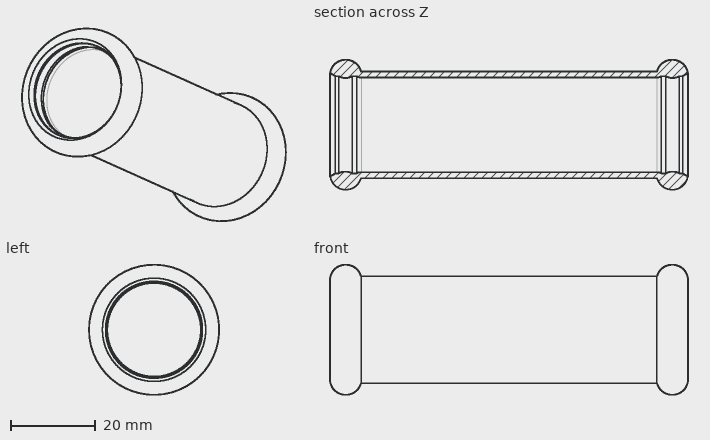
import cadquery as cq
import math

length = 84.5
body_radius = 25.3 / 2
socket_radius = 22.9 / 2
bore_radius = 22.3 / 2

bead_outer_radius = 30.79 / 2
bead_section_radius = 3.76
bead_ring_radius = bead_outer_radius - bead_section_radius

mouth_radius = 12.2
lead_in_depth = 1.3
seal_start = 2.05
seal_width = 3.2
seal_radius = 11.03
step_start = 6.3

step_section_radius = 2.0


def chord_offset(section_radius, radial_offset):
    """Half chord of a circular section at a given radial distance from its centre."""
    return math.sqrt(section_radius**2 - radial_offset**2)


mouth_x = -length / 2
bead_x = mouth_x + chord_offset(bead_section_radius, mouth_radius - bead_ring_radius)


def end_bead():
    """Ring of circular section around the negative X end."""
    section = cq.Workplane("XY").center(bead_x, bead_ring_radius).circle(bead_section_radius)
    return section.revolve(360, (-1, -bead_ring_radius), (1, -bead_ring_radius))


def end_cavity():
    """Space inside the negative X half: tapered mouth, narrowing seal ring, rounded step and bore."""
    outside_x = bead_x - 2 * bead_section_radius
    seal_start_x = mouth_x + seal_start
    seal_end_x = seal_start_x + seal_width
    seal_middle_x = seal_start_x + seal_width / 2

    step_centre_radius = bore_radius + step_section_radius
    step_start_x = mouth_x + step_start
    step_end_x = step_start_x + chord_offset(step_section_radius, step_centre_radius - socket_radius)
    step_middle_x = (step_start_x + step_end_x) / 2
    step_middle_radius = step_centre_radius - chord_offset(step_section_radius, step_end_x - step_middle_x)

    profile = (
        cq.Workplane("XY")
        .moveTo(outside_x, 0)
        .lineTo(outside_x, mouth_radius)
        .lineTo(mouth_x, mouth_radius)
        .lineTo(mouth_x + lead_in_depth, socket_radius)
        .lineTo(seal_start_x, socket_radius)
        .threePointArc((seal_middle_x, seal_radius), (seal_end_x, socket_radius))
        .lineTo(step_start_x, socket_radius)
        .threePointArc((step_middle_x, step_middle_radius), (step_end_x, bore_radius))
        .lineTo(0, bore_radius)
        .lineTo(0, 0)
        .close()
    )
    return profile.revolve(360, (0, 0), (1, 0))


def both_ends(shape):
    """The shape together with its mirror image at the other end."""
    return shape.union(shape.mirror("YZ"))


body = cq.Workplane("YZ").circle(body_radius).extrude(-bead_x, both=True)

result = body.union(both_ends(end_bead())).cut(both_ends(end_cavity()))